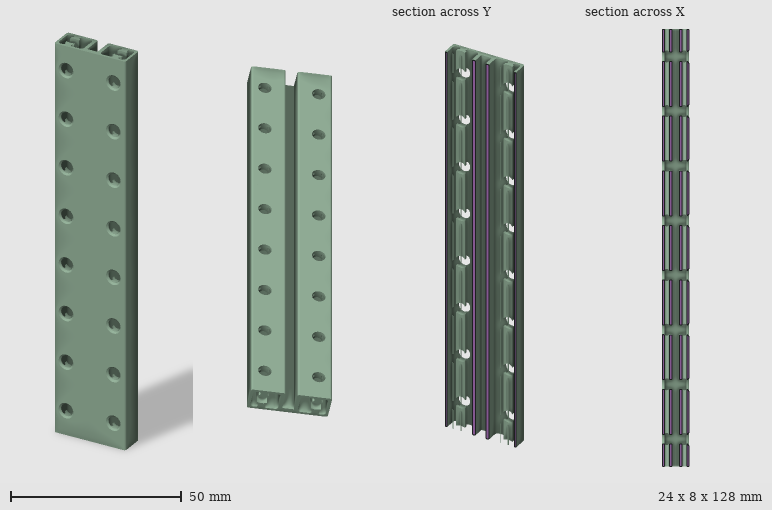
import cadquery as cq

length = 128.0
width = 24.0
depth = 8.0

outer_wall = 0.8
inner_wall = 1.2
channel_floor = 1.5
channel_width = 3.5
outer_round = 0.6
cavity_round = 1.0

rib_width = 3.0
rib_root = 3.3
rib_waist = 1.9
head_height = 0.9
tip_gap = 2.0
tip_hollow = 0.4

hole_count = 8
hole_pitch = length / hole_count
column_spacing = hole_pitch
hole_diameter = 4.0
countersink_diameter = 5.0
cut_margin = 1.3

column_x = column_spacing / 2
front_y = -depth / 2
back_y = depth / 2
signs = (-1, 1)


def make_body():
    """Rounded bar with an open channel along the middle of its +Y face."""
    channel_x = channel_width / 2
    floor_y = front_y + channel_floor
    body = (
        cq.Workplane("XY")
        .moveTo(-width / 2, front_y)
        .lineTo(width / 2, front_y)
        .lineTo(width / 2, back_y)
        .lineTo(channel_x, back_y)
        .lineTo(channel_x, floor_y)
        .lineTo(-channel_x, floor_y)
        .lineTo(-channel_x, back_y)
        .lineTo(-width / 2, back_y)
        .close()
        .extrude(length)
    )
    front_corners = body.faces("<Y").edges("|Z").fillet(outer_round)
    return front_corners.faces(">Y").edges("|Z").fillet(outer_round)


def make_rib(side, face):
    """Full-length rib standing on the inside of the front or back wall."""
    tip_x = rib_width / 2
    root_x = rib_root / 2
    waist_x = rib_waist / 2
    tip_y = tip_gap / 2
    neck_y = tip_y + head_height
    wall_y = depth / 2 - outer_wall
    root_y = depth / 2
    waist_y = (wall_y + neck_y) / 2
    return (
        cq.Workplane("XY", origin=(side * column_x, 0, 0))
        .moveTo(-root_x, face * root_y)
        .lineTo(-root_x, face * wall_y)
        .threePointArc((-waist_x, face * waist_y), (-tip_x, face * neck_y))
        .lineTo(-tip_x, face * tip_y)
        .threePointArc((0, face * (tip_y + tip_hollow)), (tip_x, face * tip_y))
        .lineTo(tip_x, face * neck_y)
        .threePointArc((waist_x, face * waist_y), (root_x, face * wall_y))
        .lineTo(root_x, face * root_y)
        .close()
        .extrude(length)
    )


def make_cavity(side):
    """Full-length hollow beside the channel, with its two ribs left standing."""
    inner_x = channel_width / 2 + inner_wall
    outer_x = width / 2 - outer_wall
    cavity = (
        cq.Workplane("XY")
        .center(side * (inner_x + outer_x) / 2, 0)
        .rect(outer_x - inner_x, depth - 2 * outer_wall)
        .extrude(length)
        .edges("|Z")
        .fillet(cavity_round)
    )
    for face in signs:
        cavity = cavity.cut(make_rib(side, face))
    return cavity


def make_hole(x, z):
    """Cutter for one through hole along Y with a 45 degree countersink at -Y."""
    hole_radius = hole_diameter / 2
    sink_radius = countersink_diameter / 2
    sink_depth = sink_radius - hole_radius
    return (
        cq.Workplane("XY", origin=(x, 0, z))
        .moveTo(0, front_y - cut_margin)
        .lineTo(sink_radius + cut_margin, front_y - cut_margin)
        .lineTo(hole_radius, front_y + sink_depth)
        .lineTo(hole_radius, back_y + cut_margin)
        .lineTo(0, back_y + cut_margin)
        .close()
        .revolve(360, (0, 0, 0), (0, 1, 0))
    )


result = make_body()
for side in signs:
    result = result.cut(make_cavity(side))
    for row in range(hole_count):
        result = result.cut(make_hole(side * column_x, (row + 0.5) * hole_pitch))